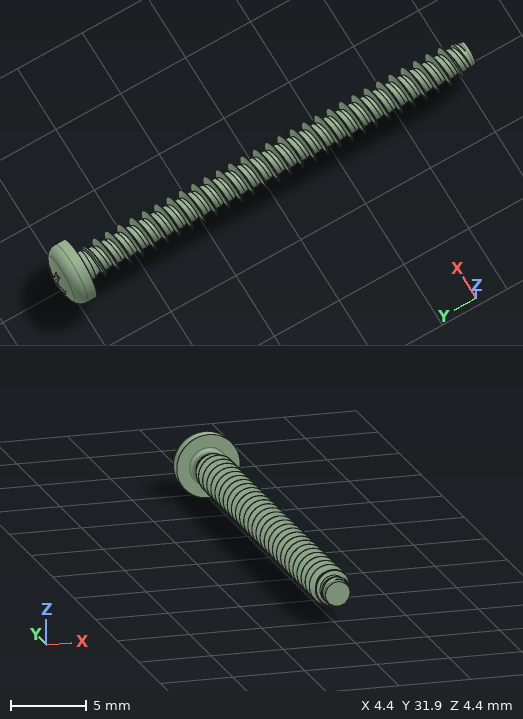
import cadquery as cq
import math


total_length = 31.87
head_height = 1.88
shank_length = total_length - head_height
tip_z = -shank_length

head_diameter = 4.4
head_radius = head_diameter / 2
rim_height = 0.7
edge_radius = 0.85
crown_loss = 0.013

wing_width = 0.45
wing_span = 2.05
recess_depth = 0.9

neck_radius = 1.05
neck_length = 0.57
neck_fillet = 0.25
core_radius = 0.92
neck_taper_length = 0.25
tip_radius = 0.85

helix_length = 30.4
helix_turns = 32
pitch = helix_length / helix_turns
helix_start = -30.2
spare_turns = 2
crest_radius = 1.35
crest_width = 0.03
base_width = 0.3
lead_in_start = -0.5
lead_in_end = -1.65
run_out_start = -28.2
run_out_end = -29.77
run_out_radius = 0.9
blank_clearance = 0.05
blank_radius = crest_radius + blank_clearance

relief_depth = 0.1
relief_reach = 0.45


def revolve_profile(profile):
    """Revolve an XZ half-profile about the Z axis."""
    return profile.close().revolve(360, (0, 0, 0), (0, 1, 0))


def make_head():
    edge_center_x = head_radius - edge_radius
    rise = head_height + crown_loss - rim_height
    dome_radius = (edge_center_x**2 + rise**2 - edge_radius**2) / (2 * (rise - edge_radius))
    dome_center_z = rim_height + rise - dome_radius
    tilt = math.asin(edge_center_x / (dome_radius - edge_radius))

    def on_edge(angle):
        return (edge_center_x + edge_radius * math.sin(angle), rim_height + edge_radius * math.cos(angle))

    def on_dome(angle):
        return (dome_radius * math.sin(angle), dome_center_z + dome_radius * math.cos(angle))

    profile = (
        cq.Workplane("XZ")
        .lineTo(head_radius, 0)
        .lineTo(head_radius, rim_height)
        .threePointArc(on_edge((tilt + math.pi / 2) / 2), on_edge(tilt))
        .threePointArc(on_dome(tilt / 2), on_dome(0))
    )
    return revolve_profile(profile)


def make_recess():
    cut_height = recess_depth + crown_loss
    floor = cq.Workplane("XY", origin=(0, 0, head_height - recess_depth))
    wing = floor.rect(wing_span, wing_width).extrude(cut_height)
    return wing.union(floor.rect(wing_width, wing_span).extrude(cut_height))


def make_neck():
    fillet_inset = neck_fillet * (1 - math.sqrt(0.5))
    taper_stretch = 2
    taper_depth = taper_stretch * (neck_radius - core_radius)
    neck_end = -neck_length - taper_stretch * neck_taper_length
    profile = (
        cq.Workplane("XZ")
        .lineTo(neck_radius + neck_fillet, 0)
        .threePointArc((neck_radius + fillet_inset, -fillet_inset), (neck_radius, -neck_fillet))
        .lineTo(neck_radius, -neck_length)
        .lineTo(neck_radius - taper_depth, neck_end)
        .lineTo(0, neck_end)
    )
    return revolve_profile(profile)


def make_blank():
    lead_in_slope = (lead_in_end - lead_in_start) / (crest_radius - neck_radius)
    run_out_slope = (run_out_start - run_out_end) / (crest_radius - run_out_radius)
    profile = (
        cq.Workplane("XZ")
        .lineTo(neck_radius - lead_in_start / lead_in_slope, 0)
        .lineTo(blank_radius, lead_in_start + lead_in_slope * (blank_radius - neck_radius))
        .lineTo(blank_radius, run_out_end + run_out_slope * (blank_radius - run_out_radius))
        .lineTo(run_out_radius, run_out_end)
        .lineTo(tip_radius, tip_z)
        .lineTo(0, tip_z)
    )
    return revolve_profile(profile)


def make_threaded_rod():
    """A right-hand threaded rod, longer than the shank, built as a closed shell of helical faces."""
    flank_slope = (base_width - crest_width) / 2 / (crest_radius - core_radius)
    relief_radius = core_radius - relief_depth
    relief_start = base_width / 2 + flank_slope * relief_depth
    section = [
        (core_radius, -base_width / 2),
        (crest_radius, -crest_width / 2),
        (crest_radius, crest_width / 2),
        (relief_radius, relief_start),
        (core_radius, relief_reach),
        (core_radius, pitch - base_width / 2),
    ]

    def turn_edge(radius, z):
        if radius == 0:
            return cq.Edge.makeLine(cq.Vector(0, 0, z), cq.Vector(0, 0, z + pitch))
        return cq.Wire.makeHelix(pitch, pitch, radius, cq.Vector(0, 0, z)).Edges()[0]

    def turn_face(start, end, base_z):
        edges = [turn_edge(radius, base_z + z) for radius, z in (start, end)]
        return cq.Face.makeRuledSurface(*edges)

    turns = helix_turns + 2 * spare_turns
    lowest_crest = helix_start - spare_turns * pitch
    faces = []
    for turn in range(turns):
        for start, end in zip(section, section[1:]):
            faces.append(turn_face(start, end, lowest_crest + turn * pitch))

    outline = [(0, section[0][1])] + section + [(0, section[-1][1])]
    for base_z in (lowest_crest, lowest_crest + turns * pitch):
        faces.append(turn_face(outline[0], section[0], base_z))
        corners = [cq.Vector(radius, 0, base_z + z) for radius, z in outline]
        faces.append(cq.Face.makeFromWires(cq.Wire.makePolygon(corners, close=True)))
    return cq.Workplane(obj=cq.Solid.makeSolid(cq.Shell.makeShell(faces)))


shank = make_threaded_rod().intersect(make_blank(), clean=False)
shank = shank.union(make_neck(), clean=False)
head = make_head().cut(make_recess())
result = shank.union(head, clean=False).rotate((0, 0, 0), (1, 0, 0), -90)